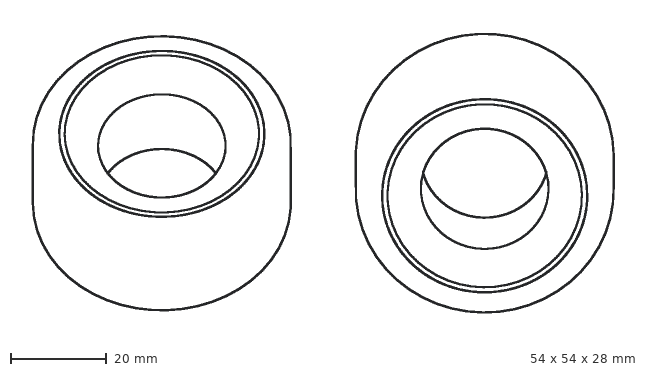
import cadquery as cq

OUTER_DIAMETER = 54.0
HEIGHT = 28.0
EDGE_RADIUS = 3.5

RING_BORE_DIAMETER = 43.0
BUSHING_DIAMETER = 42.9

BORE_DIAMETER = 26.7
FLARE_DIAMETER = 40.65
FLARE_DEPTH = 4.25


def make_outer_ring():
    """Ring with rounded outer edges and a plain bore for the bushing."""
    return (
        cq.Workplane("XY", origin=(0, 0, -HEIGHT / 2))
        .circle(OUTER_DIAMETER / 2)
        .extrude(HEIGHT)
        .edges()
        .fillet(EDGE_RADIUS)
        .faces(">Z")
        .workplane()
        .hole(RING_BORE_DIAMETER)
    )


def make_bushing():
    """Full-height bushing, revolved from its half section in the XZ plane."""
    outer_radius = BUSHING_DIAMETER / 2
    bore_radius = BORE_DIAMETER / 2
    flare_radius = FLARE_DIAMETER / 2
    end_z = HEIGHT / 2
    bore_end_z = end_z - FLARE_DEPTH
    half_section = [
        (outer_radius, -end_z),
        (outer_radius, end_z),
        (flare_radius, end_z),
        (bore_radius, bore_end_z),
        (bore_radius, -bore_end_z),
        (flare_radius, -end_z),
    ]
    return cq.Workplane("XZ").polyline(half_section).close().revolve(360, (0, 0), (0, 1))


outer_ring = make_outer_ring()
bushing = make_bushing()

result = cq.Compound.makeCompound([outer_ring.val(), bushing.val()])